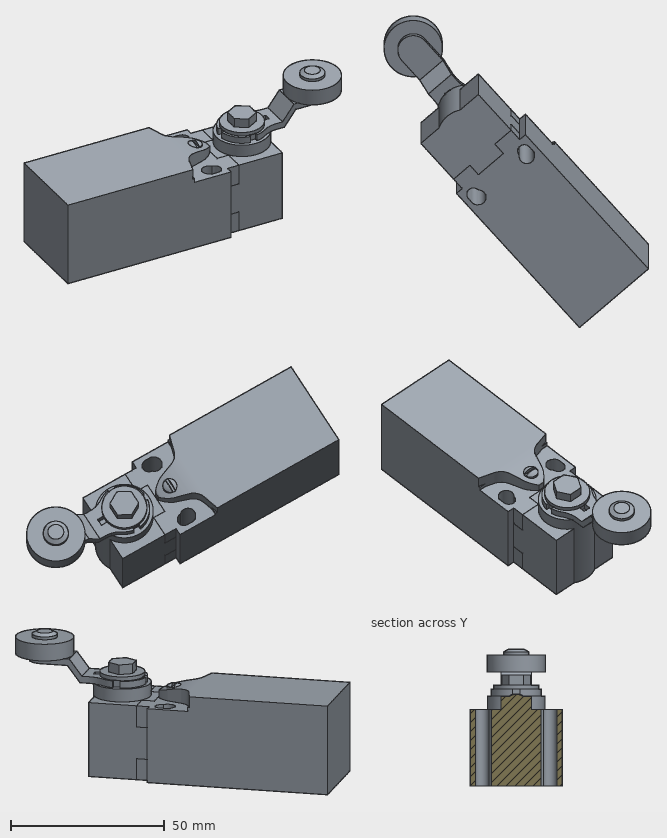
import cadquery as cq
import math


HOUSING_WIDTH = 30.0
HOUSING_FRONT_Y = 60.4
DECK_STEP_Y = 46.9
DECK_Z = 25.0
LEDGE_Z = 26.3
LID_TOP_Z = 30.0
REAR_RIM = 2.1

TAB_LENGTH = 4.2
TAB_HEIGHT = 7.1
TONGUE_WIDTH = 10.8

NOSE_TIP_HALF_WIDTH = 1.0
NOSE_TIP_Y = 60.1
NOSE_TIP_Z = 27.4
NOSE_CREST_Y = 59.6
NOSE_CREST_Z = 27.7
NOSE_CROWN_END_Y = 47.6
NOSE_BULGE = (2.8, 58.4)
NOSE_SHOULDER = (4.2, 56.2)
NOSE_WAIST = (6.0, 51.2)
NOSE_FLARE = (9.4, 47.9)
LID_CORNER_Y = 46.3
SCREW_Y = 55.0
SCREW_RADIUS = 2.5
SCREW_RIM_Z = 29.2
SCREW_TOP_Z = 30.1
SCREW_SLOT_WIDTH = 1.0
SCREW_SLOT_Z = 29.0

MOUNT_SLOT_X = 11.0
MOUNT_SLOT_Y = 56.5
MOUNT_SLOT_RADIUS = 2.2
MOUNT_HOLE_X = 10.5
MOUNT_HOLE_Y = 54.7
MOUNT_HOLE_RADIUS = 2.5

HEAD_WIDTH = 25.0
HEAD_FRONT_Y = 80.8
SHAFT_Y = 72.5
COLLAR_RADIUS = 9.4
COLLAR_TOP_Z = 29.3

PLATE_THICKNESS = 2.3
HUB_RADIUS = 8.2
ARM_WIDTH = 10.1
ARM_FILLET = 9.5
BEND_LOW_Y = 84.9
BEND_HIGH_Y = 89.1
ARM_TOP_Z = 37.1
UNDERSIDE_SHIFT = 0.6
KEY_SLOT_WIDTH = 2.4
KEY_SLOT_INNER = 6.9
KEY_SLOT_OUTER = 9.4
WASHER_RADIUS = 7.4
WASHER_TOP_Z = 32.9
HEX_ACROSS_FLATS = 8.1
HEX_TOP_Z = 36.1

OVERALL_LENGTH = 108.1
ROLLER_RADIUS = 9.5
ROLLER_Y = OVERALL_LENGTH - ROLLER_RADIUS
ROLLER_TOP_Z = 42.7
PIN_RADIUS = 4.1
PIN_RIM_Z = 43.7
PIN_TOP_RADIUS = 2.6
PIN_TOP_Z = 44.5


def block(width, y_start, y_end, z_start, z_end):
    """Box centred on X = 0 between the given Y and Z limits."""
    size_y = y_end - y_start
    return (
        cq.Workplane("XY", origin=(0, y_start + size_y / 2, z_start))
        .box(width, size_y, z_end - z_start, centered=(True, True, False))
    )


def disc(y, radius, z_start, z_end):
    """Upright cylinder on the centre plane."""
    return cq.Workplane("XY", origin=(0, y, z_start)).circle(radius).extrude(z_end - z_start)


def corner_tabs():
    """Four tabs at the corners of the joint, flush with the outside of the head."""
    joint = block(HEAD_WIDTH, HOUSING_FRONT_Y, HOUSING_FRONT_Y + TAB_LENGTH, 0, DECK_Z)
    upright = block(TONGUE_WIDTH, HOUSING_FRONT_Y, HOUSING_FRONT_Y + TAB_LENGTH, 0, DECK_Z)
    level = block(
        HEAD_WIDTH, HOUSING_FRONT_Y, HOUSING_FRONT_Y + TAB_LENGTH, TAB_HEIGHT, DECK_Z - TAB_HEIGHT
    )
    return joint.cut(upright).cut(level)


def nose_bulge(sign):
    """Middle point of the rounded shoulder at the nose tip."""
    return (sign * NOSE_BULGE[0], NOSE_BULGE[1])


def nose_flare_middle(sign):
    """Middle point of the hollow flare, on an arc tangent to the straight nose flank."""
    flank = math.atan2(NOSE_WAIST[1] - NOSE_SHOULDER[1], NOSE_WAIST[0] - NOSE_SHOULDER[0])
    chord_x = NOSE_FLARE[0] - NOSE_WAIST[0]
    chord_y = NOSE_FLARE[1] - NOSE_WAIST[1]
    chord = math.hypot(chord_x, chord_y)
    half_turn = math.atan2(chord_y, chord_x) - flank
    sagitta = chord / 2 * math.tan(half_turn / 2)
    x = NOSE_WAIST[0] + chord_x / 2 + sagitta * chord_y / chord
    y = NOSE_WAIST[1] + chord_y / 2 - sagitta * chord_x / chord
    return (sign * x, y)


def lid():
    """Lid plate with a bell-shaped nose that slopes down onto the deck."""
    half = HOUSING_WIDTH / 2
    outline = (
        cq.Workplane("XY", origin=(0, 0, DECK_Z))
        .moveTo(-half, REAR_RIM)
        .lineTo(half, REAR_RIM)
        .lineTo(half, LID_CORNER_Y)
        .lineTo(*NOSE_FLARE)
        .threePointArc(nose_flare_middle(1), NOSE_WAIST)
        .lineTo(*NOSE_SHOULDER)
        .threePointArc(nose_bulge(1), (NOSE_TIP_HALF_WIDTH, NOSE_TIP_Y))
        .lineTo(-NOSE_TIP_HALF_WIDTH, NOSE_TIP_Y)
        .threePointArc(nose_bulge(-1), (-NOSE_SHOULDER[0], NOSE_SHOULDER[1]))
        .lineTo(-NOSE_WAIST[0], NOSE_WAIST[1])
        .threePointArc(nose_flare_middle(-1), (-NOSE_FLARE[0], NOSE_FLARE[1]))
        .lineTo(-half, LID_CORNER_Y)
        .close()
        .extrude(LID_TOP_Z - DECK_Z)
    )
    profile = (
        cq.Workplane("YZ")
        .moveTo(REAR_RIM, DECK_Z)
        .lineTo(NOSE_TIP_Y, DECK_Z)
        .lineTo(NOSE_TIP_Y, NOSE_TIP_Z)
        .lineTo(NOSE_CREST_Y, NOSE_CREST_Z)
        .lineTo(NOSE_CROWN_END_Y, LID_TOP_Z)
        .lineTo(REAR_RIM, LID_TOP_Z)
        .close()
        .extrude(half, both=True)
    )
    run = NOSE_CREST_Y - NOSE_CROWN_END_Y
    drop = LID_TOP_Z - NOSE_CREST_Z
    crown_radius = (run**2 + drop**2) / (2 * drop)
    middle_y = NOSE_CROWN_END_Y + run / 2
    middle_z = LID_TOP_Z - crown_radius + math.sqrt(crown_radius**2 - (run / 2) ** 2)
    crown = (
        cq.Workplane("YZ")
        .moveTo(NOSE_CROWN_END_Y, LID_TOP_Z)
        .threePointArc((middle_y, middle_z), (NOSE_CREST_Y, NOSE_CREST_Z))
        .close()
        .extrude(half, both=True)
    )
    return outline.intersect(profile.union(crown))


def lid_screw():
    """Screw head with a domed top, before its slot is cut."""
    dome_rise = SCREW_TOP_Z - SCREW_RIM_Z
    dome_radius = (SCREW_RADIUS**2 + dome_rise**2) / (2 * dome_rise)
    dome = cq.Workplane("XY", origin=(0, SCREW_Y, SCREW_TOP_Z - dome_radius)).sphere(dome_radius)
    return disc(SCREW_Y, SCREW_RADIUS, DECK_Z, SCREW_TOP_Z).intersect(dome)


def screw_slot():
    """Straight driver slot across the screw head, kept inside its rim."""
    half_slot = SCREW_SLOT_WIDTH / 2
    slot = block(2 * SCREW_RADIUS, SCREW_Y - half_slot, SCREW_Y + half_slot, SCREW_SLOT_Z, SCREW_TOP_Z)
    return slot.intersect(disc(SCREW_Y, SCREW_RADIUS, SCREW_SLOT_Z, SCREW_TOP_Z))


def mounting_hole(side):
    """Through hole: a short upright slot joined with a larger round hole."""
    reach = MOUNT_SLOT_Y - MOUNT_HOLE_Y
    slot = (
        cq.Workplane("XY")
        .center(side * MOUNT_SLOT_X, MOUNT_SLOT_Y - reach / 2)
        .slot2D(reach + 2 * MOUNT_SLOT_RADIUS, 2 * MOUNT_SLOT_RADIUS, 90)
        .extrude(DECK_Z)
    )
    hole = (
        cq.Workplane("XY")
        .center(side * MOUNT_HOLE_X, MOUNT_HOLE_Y)
        .circle(MOUNT_HOLE_RADIUS)
        .extrude(DECK_Z)
    )
    return slot.union(hole)


def make_housing():
    ledge = block(HOUSING_WIDTH, 0, DECK_STEP_Y, 0, LEDGE_Z)
    body = block(HOUSING_WIDTH, 0, HOUSING_FRONT_Y, 0, DECK_Z)
    body = body.union(ledge)
    body = body.union(block(HOUSING_WIDTH, 0, REAR_RIM, 0, LID_TOP_Z))
    body = body.union(corner_tabs())
    for side in (-1, 1):
        body = body.cut(mounting_hole(side))
    body = body.union(lid().cut(ledge), clean=False)
    body = body.union(lid_screw(), clean=False)
    return body.cut(screw_slot(), clean=False)


def lever_outline():
    """Hub, arm and rounded arm end, as seen along the shaft, with hollow fillets at the hub."""
    half = ARM_WIDTH / 2
    centre_x = half + ARM_FILLET
    centre_y = math.sqrt((HUB_RADIUS + ARM_FILLET) ** 2 - centre_x**2)
    share = HUB_RADIUS / (HUB_RADIUS + ARM_FILLET)
    touch = (centre_x * share, centre_y * share)
    half_sweep = math.atan2(centre_y, centre_x) / 2
    middle = (
        centre_x - ARM_FILLET * math.cos(half_sweep),
        centre_y - ARM_FILLET * math.sin(half_sweep),
    )
    end_y = ROLLER_Y - SHAFT_Y
    return (
        cq.Workplane("XY", origin=(0, SHAFT_Y, COLLAR_TOP_Z))
        .moveTo(half, centre_y)
        .lineTo(half, end_y)
        .threePointArc((0, end_y + half), (-half, end_y))
        .lineTo(-half, centre_y)
        .threePointArc((-middle[0], middle[1]), (-touch[0], touch[1]))
        .threePointArc((0, -HUB_RADIUS), touch)
        .threePointArc(middle, (half, centre_y))
        .close()
        .extrude(ARM_TOP_Z - COLLAR_TOP_Z)
    )


def lever():
    """Cranked sheet lever with four key slots around its hub."""
    hub_end_y = SHAFT_Y - HUB_RADIUS
    arm_end_y = ROLLER_Y + ARM_WIDTH / 2
    crank = (
        cq.Workplane("YZ")
        .moveTo(hub_end_y, COLLAR_TOP_Z)
        .lineTo(BEND_LOW_Y + UNDERSIDE_SHIFT, COLLAR_TOP_Z)
        .lineTo(BEND_HIGH_Y + UNDERSIDE_SHIFT, ARM_TOP_Z - PLATE_THICKNESS)
        .lineTo(arm_end_y, ARM_TOP_Z - PLATE_THICKNESS)
        .lineTo(arm_end_y, ARM_TOP_Z)
        .lineTo(BEND_HIGH_Y, ARM_TOP_Z)
        .lineTo(BEND_LOW_Y, COLLAR_TOP_Z + PLATE_THICKNESS)
        .lineTo(hub_end_y, COLLAR_TOP_Z + PLATE_THICKNESS)
        .close()
        .extrude(HUB_RADIUS, both=True)
    )
    plate = lever_outline().intersect(crank)
    key_slots = (
        cq.Workplane("XY", origin=(0, SHAFT_Y, COLLAR_TOP_Z))
        .polarArray((KEY_SLOT_INNER + KEY_SLOT_OUTER) / 2, 0, 360, 4)
        .rect(KEY_SLOT_OUTER - KEY_SLOT_INNER, KEY_SLOT_WIDTH)
        .extrude(PLATE_THICKNESS)
    )
    return plate.cut(key_slots)


def roller():
    """Roller with the flattened dome of its pin on top."""
    wheel = disc(ROLLER_Y, ROLLER_RADIUS, ARM_TOP_Z, ROLLER_TOP_Z)
    pin_rim = disc(ROLLER_Y, PIN_RADIUS, ROLLER_TOP_Z, PIN_RIM_Z)
    pin_top = (
        cq.Workplane("XZ", origin=(0, ROLLER_Y, PIN_RIM_Z))
        .lineTo(PIN_RADIUS, 0)
        .lineTo(PIN_TOP_RADIUS, PIN_TOP_Z - PIN_RIM_Z)
        .lineTo(0, PIN_TOP_Z - PIN_RIM_Z)
        .close()
        .revolve(360, (0, 0, 0), (0, 1, 0))
    )
    return wheel.union(pin_rim).union(pin_top)


def shaft_bolt():
    """Washer and hexagon head that clamp the lever."""
    washer = disc(SHAFT_Y, WASHER_RADIUS, COLLAR_TOP_Z + PLATE_THICKNESS, WASHER_TOP_Z)
    across_corners = HEX_ACROSS_FLATS / math.cos(math.pi / 6)
    hexagon = (
        cq.Workplane("XY", origin=(0, SHAFT_Y, WASHER_TOP_Z))
        .polygon(6, across_corners)
        .extrude(HEX_TOP_Z - WASHER_TOP_Z)
    )
    return washer.union(hexagon)


def make_head():
    body = block(HEAD_WIDTH, HOUSING_FRONT_Y, HEAD_FRONT_Y, 0, DECK_Z).cut(corner_tabs())
    body = body.union(disc(SHAFT_Y, COLLAR_RADIUS, 0, COLLAR_TOP_Z))
    body = body.union(lever())
    body = body.union(shaft_bolt())
    return body.union(roller())


housing = make_housing()
head = make_head()

result = cq.Compound.makeCompound([housing.val(), head.val()])